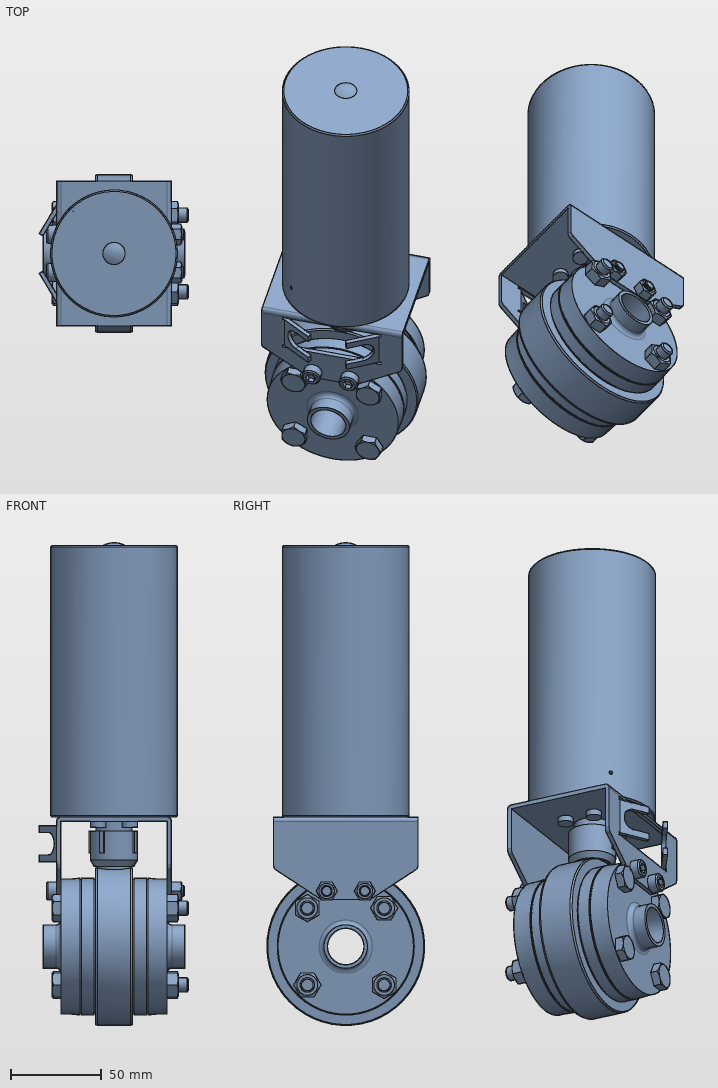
import cadquery as cq
import math


valve_dia = 87.0
valve_radius = valve_dia / 2
total_height = 266.0
top_z = total_height - valve_radius

ring_width = 20.5
ring_half = ring_width / 2
ring_chamfer_axial = 1.0
ring_chamfer_radial = 0.5
disc_radius = 37.8
flange_face_radius = 37.3
flange_half = 29.3
groove_x = 18.4
groove_width = 0.8
groove_depth = 0.8

pipe_half = 39.0
pipe_dia = 24.0
bore_dia = 20.0
pipe_fillet = 2.7

bolt_spacing = 42.3
bolt_offset = bolt_spacing / 2
bolt_dia = 8.0
bolt_end = 41.0
bolt_end_chamfer = 0.8
bolt_hex_flats = 13.0
bolt_head_height = 4.8
bolt_nut_height = 6.5
bolt_nut_face_dia = 11.5
hex_bevel = 0.8

sheet = 2.5
bracket_half_x = flange_half + sheet
bracket_half_y = 40.0
bracket_top = 71.3
ear_shoulder_z = 43.0
ear_bottom_z = 25.8
ear_bottom_half_y = 13.3
ear_corner_radius = 3.5

window_half_y = 28.0
window_bottom = 45.2
window_top = 68.0
window_mid_z = (window_bottom + window_top) / 2
window_height = window_top - window_bottom
tab_height = 20.0
tab_tip_x = -41.2
tab_tip_y = 11.0
tab_angle = 31
tab_slot_width = 12.2
tab_slot_length = 16.0

ear_screw_spacing = 21.0
ear_screw_y = ear_screw_spacing / 2
ear_screw_z = 30.5
ear_screw_head_dia = 10.0
ear_screw_head_height = 5.5
ear_screw_head_chamfer = 0.8
ear_screw_socket_flats = 5.0
ear_screw_socket_depth = 2.7
ear_screw_dia = 6.0
ear_screw_end = 38.8
ear_screw_end_chamfer = 0.5
ear_nut_flats = 10.0
ear_nut_height = 5.9
ear_nut_face_dia = 8.5

base_screw_x = 8.8
base_screw_y = 14.6
base_screw_dia = 8.5
base_screw_height = 3.2

stem_dia = 20.0
coupling_dia = 26.0
coupling_top = 63.5
coupling_bottom = 44.2
coupling_chamfer_height = 3.5
coupling_chamfer_width = 2.0
rib_angles = (180, 240, 330)
rib_width = 2.7
rib_height = 0.8
rib_bottom = 51.5

actuator_dia = 70.0
actuator_radius = actuator_dia / 2
actuator_chamfer = 0.8
button_dia = 12.2
button_height = 1.5
port_angle = 135
port_z = 85.5
port_dia = 1.9
port_depth = 2.7


def x_cylinder(radius, x_start, x_end, y=0, z=0):
    """Cylinder along X between two X positions."""
    return cq.Workplane("YZ", origin=(x_start, y, z)).circle(radius).extrude(x_end - x_start)


def x_hexagon(flats, x_start, x_end, y, z, turn=0):
    """Hexagonal prism along X; unturned, two of its flats face up and down."""
    across_corners = flats / math.cos(math.pi / 6)
    return (
        cq.Workplane("YZ", origin=(x_start, y, z))
        .transformed(rotate=(0, 0, turn))
        .polygon(6, across_corners)
        .extrude(x_end - x_start)
    )


def x_bevelled_hexagon(flats, face_dia, x_start, x_end, y, z, turn=0):
    """Hexagonal prism along X whose corners are bevelled to a round face at x_end."""
    corner_radius = flats / math.cos(math.pi / 6) / 2
    outer_face = ">X" if x_end > x_start else "<X"
    blank = x_cylinder(corner_radius, x_start, x_end, y, z).faces(outer_face).chamfer(
        hex_bevel, corner_radius - face_dia / 2
    )
    return x_hexagon(flats, x_start, x_end, y, z, turn).intersect(blank)


def make_ring():
    """Centre ring with bevelled rims; the bevel runs further along the rim than across the face."""
    rim_half = ring_half - ring_chamfer_axial
    face_radius = valve_radius - ring_chamfer_radial
    return (
        cq.Workplane("XY")
        .polyline([
            (-ring_half, 0),
            (-ring_half, face_radius),
            (-rim_half, valve_radius),
            (rim_half, valve_radius),
            (ring_half, face_radius),
            (ring_half, 0),
        ])
        .close()
        .revolve(360, (0, 0, 0), (1, 0, 0))
    )


def make_discs():
    """Inner discs and slightly tapering flanges, grooved beside the ring and at each flange joint."""
    body = (
        cq.Workplane("XY")
        .polyline([
            (-flange_half, 0),
            (-flange_half, flange_face_radius),
            (-groove_x, disc_radius),
            (groove_x, disc_radius),
            (flange_half, flange_face_radius),
            (flange_half, 0),
        ])
        .close()
        .revolve(360, (0, 0, 0), (1, 0, 0))
    )
    groove_centre = ring_half + groove_width / 2
    for x in (-groove_x, -groove_centre, groove_centre, groove_x):
        start = x - groove_width / 2
        end = x + groove_width / 2
        core = x_cylinder(disc_radius - groove_depth, start, end)
        body = body.cut(x_cylinder(valve_radius, start, end).cut(core))
    return body


def make_pipe(side):
    """Pipe stub with a concave fillet where it meets the flange."""
    radius = pipe_dia / 2
    root = side * flange_half
    profile = (
        cq.Workplane("XY")
        .lineTo(side * pipe_half, 0)
        .lineTo(side * pipe_half, radius)
        .lineTo(root + side * pipe_fillet, radius)
        .radiusArc((root, radius + pipe_fillet), side * pipe_fillet)
        .lineTo(0, radius + pipe_fillet)
        .close()
    )
    return profile.revolve(360, (0, 0, 0), (1, 0, 0))


def make_flange_bolt(side_y, side_z):
    """Bolt head on the -X flange; nut and bolt end on the +X flange."""
    y = side_y * bolt_offset
    z = side_z * bolt_offset
    nut_end = flange_half + bolt_nut_height
    turn = 0 if side_y * side_z > 0 else 30
    head_end = -flange_half - bolt_head_height
    head = x_bevelled_hexagon(bolt_hex_flats, bolt_hex_flats, -flange_half, head_end, y, z, turn)
    nut = x_bevelled_hexagon(bolt_hex_flats, bolt_nut_face_dia, flange_half, nut_end, y, z, turn)
    end = x_cylinder(bolt_dia / 2, flange_half, bolt_end, y, z).faces(">X").chamfer(bolt_end_chamfer)
    return head.union(nut).union(end)


def make_bracket():
    """Inverted U of sheet metal with tapering ears and a rounded bend on both upper edges."""
    ears = (
        cq.Workplane("YZ", origin=(-bracket_half_x, 0, 0))
        .polyline([
            (-bracket_half_y, bracket_top),
            (-bracket_half_y, ear_shoulder_z),
            (-ear_bottom_half_y, ear_bottom_z),
            (ear_bottom_half_y, ear_bottom_z),
            (bracket_half_y, ear_shoulder_z),
            (bracket_half_y, bracket_top),
        ])
        .close()
        .extrude(2 * bracket_half_x)
        .edges("|X").edges("<Y or >Y").edges("<Z").fillet(ear_corner_radius)
    )
    inner_top = bracket_top - sheet
    inside = cq.Workplane("XY").box(
        2 * flange_half, 2 * bracket_half_y, inner_top, centered=(True, True, False)
    )
    return ears.edges("|Y and >Z").fillet(sheet).cut(inside)


def make_window():
    """Rectangular opening through the -X ear."""
    return cq.Workplane("XY").box(sheet, 2 * window_half_y, window_height).translate(
        (-flange_half - sheet / 2, 0, window_mid_z)
    )


def make_tab():
    """Tab on the +Y side of the window, bent outwards, with a round-ended slot open at its tip."""
    ear_outer_x = -bracket_half_x
    along_x = math.sin(math.radians(tab_angle))
    along_y = math.cos(math.radians(tab_angle))
    rise = along_y / along_x
    outer_root_y = tab_tip_y + (ear_outer_x - tab_tip_x) * rise
    inner_tip = (tab_tip_x + sheet * along_y, tab_tip_y - sheet * along_x)
    inner_root_y = inner_tip[1] + (-flange_half - inner_tip[0]) * rise
    plate = (
        cq.Workplane("XY", origin=(0, 0, window_mid_z))
        .polyline([
            (ear_outer_x, window_half_y),
            (ear_outer_x, outer_root_y),
            (tab_tip_x, tab_tip_y),
            inner_tip,
            (-flange_half, inner_root_y),
            (-flange_half, window_half_y),
        ])
        .close()
        .extrude(tab_height / 2, both=True)
    )
    along = cq.Vector(along_x, along_y, 0)
    outward = cq.Vector(-along_y, along_x, 0)
    slot_plane = cq.Plane(origin=(tab_tip_x, tab_tip_y, window_mid_z), xDir=along, normal=outward)
    slot_straight = tab_slot_length - tab_slot_width / 2
    slot = (
        cq.Workplane(slot_plane)
        .slot2D(2 * slot_straight + tab_slot_width, tab_slot_width)
        .extrude(2 * sheet, both=True)
    )
    return plate.cut(slot)


def make_ear_screw(y):
    """Socket-head screw on the -X ear and the nut and screw end on the +X ear."""
    outer = -bracket_half_x - ear_screw_head_height
    head = x_cylinder(ear_screw_head_dia / 2, outer, -bracket_half_x, y, ear_screw_z)
    head = head.faces("<X").chamfer(ear_screw_head_chamfer)
    socket = x_hexagon(ear_screw_socket_flats, outer, outer + ear_screw_socket_depth, y, ear_screw_z)
    nut_end = bracket_half_x + ear_nut_height
    nut = x_bevelled_hexagon(ear_nut_flats, ear_nut_face_dia, bracket_half_x, nut_end, y, ear_screw_z)
    end = x_cylinder(ear_screw_dia / 2, bracket_half_x, ear_screw_end, y, ear_screw_z)
    end = end.faces(">X").chamfer(ear_screw_end_chamfer)
    return head.cut(socket).union(nut).union(end)


def make_base_screws():
    """Four round screw heads under the bracket top."""
    return (
        cq.Workplane("XY", origin=(0, 0, bracket_top - sheet))
        .rect(2 * base_screw_x, 2 * base_screw_y, forConstruction=True)
        .vertices()
        .circle(base_screw_dia / 2)
        .extrude(-base_screw_height)
    )


def make_coupling():
    """Stem with a ribbed coupling, reaching from the centre ring to the bracket top."""
    stem_start = disc_radius
    stem_length = bracket_top - stem_start
    stem = cq.Workplane("XY", origin=(0, 0, stem_start)).circle(stem_dia / 2).extrude(stem_length)
    sleeve = (
        cq.Workplane("XY", origin=(0, 0, coupling_bottom))
        .circle(coupling_dia / 2)
        .extrude(coupling_top - coupling_bottom)
        .faces("<Z").chamfer(coupling_chamfer_height, coupling_chamfer_width)
    )
    coupling = stem.union(sleeve)
    rib_reach = coupling_dia / 2 + rib_height
    for angle in rib_angles:
        rib = (
            cq.Workplane("XY", origin=(0, 0, rib_bottom))
            .box(rib_reach, rib_width, coupling_top - rib_bottom, centered=(False, True, False))
            .rotate((0, 0, 0), (0, 0, 1), angle)
        )
        coupling = coupling.union(rib)
    return coupling


def make_valve():
    """Valve, stem coupling, bracket and all fasteners as one solid."""
    valve = make_ring().union(make_discs()).union(make_coupling())
    for side in (-1, 1):
        valve = valve.union(make_pipe(side))
    valve = valve.union(make_bracket().cut(make_window()))
    tab = make_tab()
    valve = valve.union(tab).union(tab.mirror("XZ"))
    for side_y in (-1, 1):
        valve = valve.union(make_ear_screw(side_y * ear_screw_y))
        for side_z in (-1, 1):
            valve = valve.union(make_flange_bolt(side_y, side_z))
    return valve.union(make_base_screws()).cut(x_cylinder(bore_dia / 2, -pipe_half, pipe_half))


def make_actuator():
    """Cylinder with a domed indicator button on top and a small port low on its side."""
    cap_z = top_z - button_height
    cylinder = (
        cq.Workplane("XY", origin=(0, 0, bracket_top))
        .circle(actuator_radius)
        .extrude(cap_z - bracket_top)
        .faces("<Z or >Z").edges().chamfer(actuator_chamfer)
    )
    button_radius = button_dia / 2
    dome_radius = (button_radius ** 2 + button_height ** 2) / (2 * button_height)
    button = (
        cq.Workplane("XZ")
        .moveTo(0, cap_z)
        .lineTo(button_radius, cap_z)
        .radiusArc((0, top_z), -dome_radius)
        .close()
        .revolve(360, (0, 0, 0), (0, 1, 0))
    )
    port = (
        cq.Workplane("YZ", origin=(actuator_radius - port_depth, 0, port_z))
        .circle(port_dia / 2)
        .extrude(2 * port_depth)
        .rotate((0, 0, 0), (0, 0, 1), port_angle)
    )
    return cylinder.union(button).cut(port)


valve = make_valve()
actuator = make_actuator()

result = cq.Compound.makeCompound([valve.val(), actuator.val()])